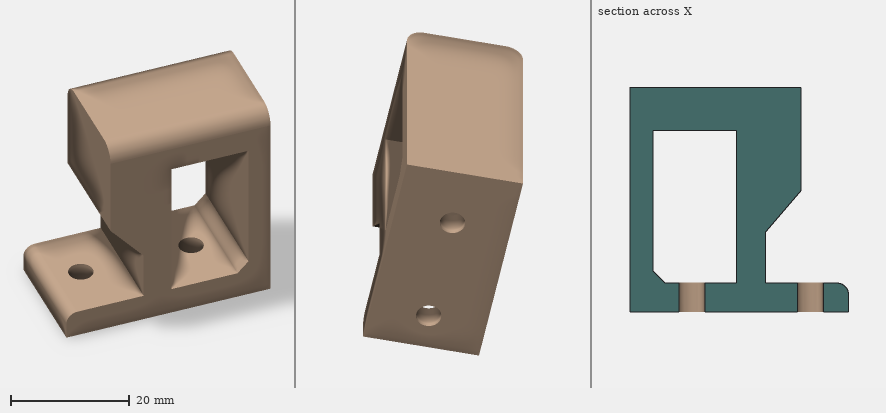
import cadquery as cq

width = 20.0
depth = 37.0
height = 38.0

base_thickness = 5.0
block_front_y = 8.0
web_front_y = 14.0
slope_bottom_z = 13.6
slope_top_z = 20.6
toe_radius = 2.0
top_edge_radius = 3.0

back_wall = 4.0
window_depth = 14.0
window_top_z = 30.7
window_chamfer = 2.0
window_back_y = depth - back_wall
window_front_y = window_back_y - window_depth

hole_diameter = 4.3
front_hole_y = 6.5
hole_spacing = 20.0
rear_hole_y = front_hole_y + hole_spacing


def side_prism(outline):
    """Extrude a closed (y, z) outline across the full width."""
    return cq.Workplane("YZ").polyline(outline).close().extrude(width / 2, both=True)


def make_body():
    outline = [
        (0, 0),
        (depth, 0),
        (depth, height),
        (block_front_y, height),
        (block_front_y, slope_top_z),
        (web_front_y, slope_bottom_z),
        (web_front_y, base_thickness),
        (0, base_thickness),
    ]
    body = side_prism(outline)
    toe_edge = cq.selectors.NearestToPointSelector((0, 0, base_thickness))
    body = body.edges(toe_edge).fillet(toe_radius)
    return body.faces(">Z").edges("|Y").fillet(top_edge_radius)


def make_window():
    outline = [
        (window_front_y, base_thickness),
        (window_back_y - window_chamfer, base_thickness),
        (window_back_y, base_thickness + window_chamfer),
        (window_back_y, window_top_z),
        (window_front_y, window_top_z),
    ]
    return side_prism(outline)


def make_base_hole(y):
    """Vertical screw hole that stops at the top of the base."""
    return cq.Workplane("XY").center(0, y).circle(hole_diameter / 2).extrude(base_thickness)


result = make_body().cut(make_window())
for hole_y in (front_hole_y, rear_hole_y):
    result = result.cut(make_base_hole(hole_y))